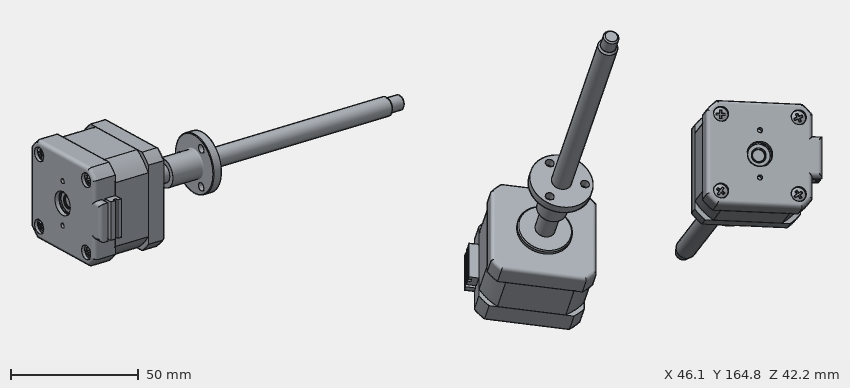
import cadquery as cq
import math


motor_width = 42.2
motor_length = 34.5
cap_flat = 34.0
stator_flat = 27.4
stator_inset = 0.08
rear_cap_length = 10.0
front_cap_length = 8.2
rear_edge_radius = 1.6
front_edge_radius = 1.5

boss_diameter = 22.1
boss_height = 1.8
boss_edge_chamfer = 0.5

connector_reach = 25.0
connector_width = 16.5
connector_gap_start = 3.5
connector_gap_end = 5.0
key_slot_start = 7.3
key_slot_width = 1.2
key_slot_depth = 1.3

rear_bore_diameter = 10.0
rear_bore_depth = 2.0
bore_step_diameter = 9.0
bore_step_depth = 2.6
shaft_opening_diameter = 6.0
shaft_opening_depth = 2.8
shaft_stop_diameter = 5.0
small_hole_diameter = 2.0
small_hole_depth = 2.5
small_hole_offset = 9.5

screw_spacing = 31.0
screw_diameter = 6.0
screw_pocket_depth = 3.0
screw_rim_height = 1.5
screw_head_height = 2.5
cross_length = 3.5
cross_width = 0.8
cross_depth = 1.0

shaft_diameter = 8.0
shaft_start = 3.3
shaft_end = 164.8
shaft_shoulder = 158.5
shaft_shoulder_chamfer = 0.8
shaft_tip_diameter = 6.3
shaft_tip_chamfer = 0.7

nut_start = 49.3
nut_flange_start = 64.1
nut_end = 68.0
nut_barrel_diameter = 12.2
nut_root_radius = 0.5
nut_flange_diameter = 25.4
nut_flange_chamfer = 0.3
nut_hole_circle = 18.8
nut_hole_diameter = 3.5
nut_hole_count = 3
nut_first_hole_angle = 60


def section_at(y):
    """Workplane across the motor axis at height y, with X to the right, Z up and extrusion toward +Y."""
    return cq.Workplane(cq.Plane(origin=(0, y, 0), xDir=(1, 0, 0), normal=(0, -1, 0)))


def cylinder(diameter, start, end):
    return section_at(start).circle(diameter / 2).extrude(start - end)


def rounded_square(width, flat, start, end):
    """Square prism whose corners are arcs centred on the motor axis."""
    half_width = width / 2
    half_flat = flat / 2
    middle = math.hypot(half_width, half_flat) / math.sqrt(2)
    return (
        section_at(start)
        .moveTo(-half_flat, half_width)
        .lineTo(half_flat, half_width)
        .threePointArc((middle, middle), (half_width, half_flat))
        .lineTo(half_width, -half_flat)
        .threePointArc((middle, -middle), (half_flat, -half_width))
        .lineTo(-half_flat, -half_width)
        .threePointArc((-middle, -middle), (-half_width, -half_flat))
        .lineTo(-half_width, half_flat)
        .threePointArc((-middle, middle), (-half_flat, half_width))
        .close()
        .extrude(start - end)
    )


def connector_block(start, end):
    """Block on the +X side, reaching inward to the motor axis."""
    return (
        section_at(start)
        .center(connector_reach / 2, 0)
        .rect(connector_reach, connector_width)
        .extrude(start - end)
    )


def connector_key_slot():
    return (
        section_at(key_slot_start)
        .center(connector_reach - key_slot_depth / 2, 0)
        .rect(key_slot_depth, connector_width)
        .extrude(-key_slot_width)
    )


def make_motor():
    rear_cap = rounded_square(motor_width, cap_flat, 0, rear_cap_length)
    rear_cap = rear_cap.union(connector_block(0, connector_gap_start))
    rear_cap = rear_cap.faces("<Y").edges().fillet(rear_edge_radius)
    rear_cap = rear_cap.union(connector_block(connector_gap_end, rear_cap_length))
    rear_cap = rear_cap.cut(connector_key_slot())

    front_cap_start = motor_length - front_cap_length
    stator_width = motor_width - 2 * stator_inset
    stator = rounded_square(stator_width, stator_flat, rear_cap_length, front_cap_start)

    front_cap = rounded_square(motor_width, cap_flat, front_cap_start, motor_length)
    front_cap = front_cap.faces(">Y").edges().fillet(front_edge_radius)

    boss_end = motor_length + boss_height
    boss = cylinder(boss_diameter, motor_length, boss_end)
    boss = boss.faces(">Y").chamfer(boss_edge_chamfer)

    motor = rear_cap.union(stator).union(front_cap).union(boss)

    motor = motor.cut(cylinder(rear_bore_diameter, 0, rear_bore_depth))
    motor = motor.cut(cylinder(bore_step_diameter, 0, bore_step_depth))
    motor = motor.cut(cylinder(shaft_opening_diameter, 0, shaft_opening_depth))
    motor = motor.cut(cylinder(shaft_stop_diameter, 0, shaft_start))
    motor = motor.cut(cylinder(shaft_diameter, shaft_start, boss_end))

    small_holes = (
        section_at(0)
        .pushPoints([(0, small_hole_offset), (0, -small_hole_offset)])
        .circle(small_hole_diameter / 2)
        .extrude(-small_hole_depth)
    )
    screw_pockets = (
        section_at(0)
        .rect(screw_spacing, screw_spacing, forConstruction=True)
        .vertices()
        .circle(screw_diameter / 2)
        .extrude(-screw_pocket_depth)
    )
    return motor.cut(small_holes).cut(screw_pockets)


def make_screw(x, z, cross_angle):
    """Domed screw head with a cross recess, resting on the floor of its pocket."""
    radius = screw_diameter / 2
    rim = screw_pocket_depth - screw_rim_height
    head_face = screw_pocket_depth - screw_head_height
    dome_rise = rim - head_face
    dome_radius = (radius**2 + dome_rise**2) / (2 * dome_rise)
    dome = cq.Workplane("XY").sphere(dome_radius).translate((0, head_face + dome_radius, 0))
    head = cylinder(screw_diameter, head_face, screw_pocket_depth).intersect(dome)
    for angle in (cross_angle, cross_angle + 90):
        slot = (
            section_at(head_face)
            .transformed(rotate=(0, 0, angle))
            .rect(cross_length, cross_width)
            .extrude(-cross_depth)
        )
        head = head.cut(slot)
    return head.translate((x, 0, z))


def make_shaft():
    body = cylinder(shaft_diameter, shaft_start, shaft_shoulder)
    body = body.faces(">Y").chamfer(shaft_shoulder_chamfer)
    tip = cylinder(shaft_tip_diameter, shaft_shoulder, shaft_end)
    tip = tip.faces(">Y").chamfer(shaft_tip_chamfer)
    return body.union(tip)


def make_nut():
    bore_radius = shaft_diameter / 2
    barrel_radius = nut_barrel_diameter / 2
    flange_radius = nut_flange_diameter / 2
    root_middle = nut_root_radius * (1 - math.sqrt(0.5))
    body = (
        cq.Workplane("XY")
        .moveTo(bore_radius, nut_start)
        .lineTo(barrel_radius, nut_start)
        .lineTo(barrel_radius, nut_flange_start - nut_root_radius)
        .threePointArc(
            (barrel_radius + root_middle, nut_flange_start - root_middle),
            (barrel_radius + nut_root_radius, nut_flange_start),
        )
        .lineTo(flange_radius - nut_flange_chamfer, nut_flange_start)
        .lineTo(flange_radius, nut_flange_start + nut_flange_chamfer)
        .lineTo(flange_radius, nut_end)
        .lineTo(bore_radius, nut_end)
        .close()
        .revolve(360, (0, 0, 0), (0, 1, 0))
    )
    holes = (
        section_at(nut_flange_start)
        .polarArray(nut_hole_circle / 2, nut_first_hole_angle, 360, nut_hole_count)
        .circle(nut_hole_diameter / 2)
        .extrude(nut_flange_start - nut_end)
    )
    return body.cut(holes)


motor = make_motor()
shaft = make_shaft()
nut = make_nut()

screw_places = [(-1, 1, 0), (1, 1, 25), (-1, -1, 55), (1, -1, 35)]
screws = []
for x_side, z_side, cross_angle in screw_places:
    screw = make_screw(x_side * screw_spacing / 2, z_side * screw_spacing / 2, cross_angle)
    screws.append(screw.val())

result = cq.Compound.makeCompound([motor.val(), shaft.val(), nut.val(), *screws])